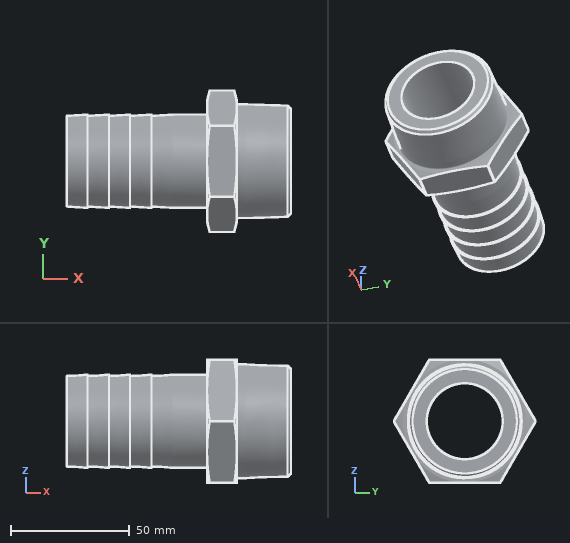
import cadquery as cq
import math

TOTAL_LENGTH = 95.0
BORE_RADIUS = 32.0 / 2
BORE_CHAMFER = 1.0

BARB_COUNT = 5
BARB_PITCH = 9.0
BARB_ROOT_RADIUS = 38.4 / 2
TAIL_RADIUS = 39.5 / 2
BARB_LAND = 0.3
TIP_CHAMFER = 0.4

HEX_START = 59.5
HEX_END = 72.0
HEX_ACROSS_FLATS = 52.0
HEX_CORNER_DIAMETER = 59.9
HEX_CHAMFER_ANGLE = 15.0
HEX_ROOT_FILLET = 0.5

PIPE_RADIUS = 48.2 / 2
TAPER_START = 75.7
TAPER_SLOPE = 1 / 32
PIPE_CHAMFER = 1.5


def barb_points():
    """Outline of the barbs from the tip to the plain tail, as (x, radius)."""
    slope = (TAIL_RADIUS - BARB_ROOT_RADIUS) / (BARB_PITCH - BARB_LAND)
    points = [
        (0, BARB_ROOT_RADIUS - TIP_CHAMFER),
        (TIP_CHAMFER, BARB_ROOT_RADIUS + slope * TIP_CHAMFER),
    ]
    for barb in range(1, BARB_COUNT):
        step_x = barb * BARB_PITCH
        points.append((step_x - BARB_LAND, TAIL_RADIUS))
        points.append((step_x, TAIL_RADIUS))
        points.append((step_x, BARB_ROOT_RADIUS))
    points.append((BARB_COUNT * BARB_PITCH, TAIL_RADIUS))
    return points


def turned_body():
    """Hose tail and pipe end, with root fillets running into both hexagon faces."""
    fillet = HEX_ROOT_FILLET
    fillet_mid = fillet * (1 - math.sqrt(0.5))
    chamfer_x = TOTAL_LENGTH - PIPE_CHAMFER
    chamfer_radius = PIPE_RADIUS - TAPER_SLOPE * (chamfer_x - TAPER_START)
    outline = cq.Workplane("XY").moveTo(0, 0)
    for x, radius in barb_points():
        outline = outline.lineTo(x, radius)
    outline = (
        outline.lineTo(HEX_START - fillet, TAIL_RADIUS)
        .threePointArc(
            (HEX_START - fillet_mid, TAIL_RADIUS + fillet_mid),
            (HEX_START, TAIL_RADIUS + fillet),
        )
        .lineTo(HEX_START, PIPE_RADIUS + fillet)
        .lineTo(HEX_END, PIPE_RADIUS + fillet)
        .threePointArc(
            (HEX_END + fillet_mid, PIPE_RADIUS + fillet_mid),
            (HEX_END + fillet, PIPE_RADIUS),
        )
        .lineTo(TAPER_START, PIPE_RADIUS)
        .lineTo(chamfer_x, chamfer_radius)
        .lineTo(TOTAL_LENGTH, chamfer_radius - PIPE_CHAMFER)
        .lineTo(TOTAL_LENGTH, 0)
        .close()
    )
    return outline.revolve(360, (0, 0, 0), (1, 0, 0))


def hexagon():
    """Hexagon with corners on +Y and -Y, corners turned and both faces chamfered."""
    prism = (
        cq.Workplane("YZ", origin=(HEX_START, 0, 0))
        .polygon(6, HEX_ACROSS_FLATS / math.cos(math.radians(30)))
        .extrude(HEX_END - HEX_START)
    )
    face_radius = HEX_ACROSS_FLATS / 2
    corner_radius = HEX_CORNER_DIAMETER / 2
    chamfer_length = (corner_radius - face_radius) * math.tan(math.radians(HEX_CHAMFER_ANGLE))
    envelope = (
        cq.Workplane("XY")
        .moveTo(HEX_START, 0)
        .lineTo(HEX_START, face_radius)
        .lineTo(HEX_START + chamfer_length, corner_radius)
        .lineTo(HEX_END - chamfer_length, corner_radius)
        .lineTo(HEX_END, face_radius)
        .lineTo(HEX_END, 0)
        .close()
        .revolve(360, (0, 0, 0), (1, 0, 0))
    )
    return prism.intersect(envelope)


def bore():
    """Through bore with a chamfered mouth at the hose end."""
    return (
        cq.Workplane("XY")
        .lineTo(0, BORE_RADIUS + BORE_CHAMFER)
        .lineTo(BORE_CHAMFER, BORE_RADIUS)
        .lineTo(TOTAL_LENGTH, BORE_RADIUS)
        .lineTo(TOTAL_LENGTH, 0)
        .close()
        .revolve(360, (0, 0, 0), (1, 0, 0))
    )


result = turned_body().union(hexagon()).cut(bore())